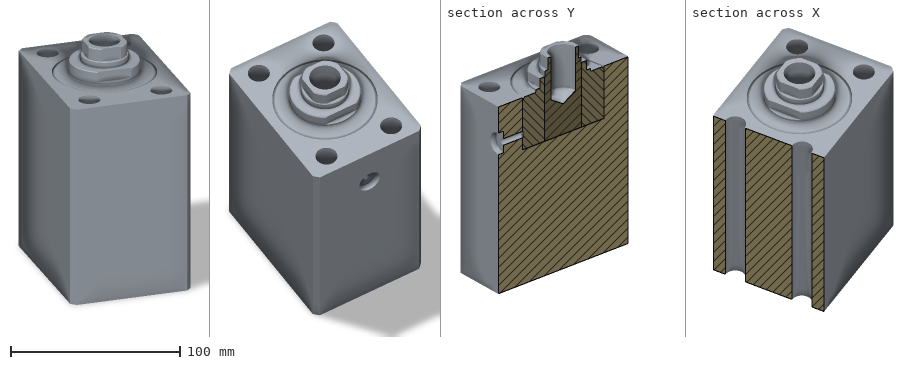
import cadquery as cq
import math

block_length = 100.0
block_width = 75.0
block_height = 124.9
corner_chamfer = 3.0

mount_hole_diameter = 13.0
mount_spacing_x = 76.0
mount_spacing_y = 44.9

port_recess_diameter = 14.2
port_recess_depth = 4.0
port_hole_diameter = 4.0
port_height = block_height - 24.8

gland_diameter = 62.3
gland_depth = 34.8
gland_chamfer = 1.5
hub_diameter = 42.0
hub_height = 8.3
hub_base_chamfer = 0.6
hub_top_chamfer = 0.5
hub_flats_width = 36.1
hub_flats_height = 6.4
bore_chamfer = 0.6

rod_diameter = 28.1
rod_top = 144.9
rod_shoulder_height = rod_top - 8.0
rod_chamfer = 0.5
rod_head_diameter = rod_diameter - 2 * rod_chamfer
rod_flats_width = 24.0
rod_hole_diameter = 18.7
rod_hole_depth = 29.0
drill_point_angle = 118.0

gland_bottom = block_height - gland_depth
hub_top = block_height + hub_height


def revolve_profile(points):
    """Turn (radius, height) points about the Z axis, starting from the -X side."""
    outline = [(-radius, height) for radius, height in points]
    return cq.Workplane("XZ").polyline(outline).close().revolve(360, (0, 0, 0), (0, 1, 0))


def cylinder(diameter, bottom, top):
    return cq.Workplane("XY").workplane(offset=bottom).circle(diameter / 2).extrude(top - bottom)


def make_block():
    block = cq.Workplane("XY").rect(block_length, block_width).extrude(block_height)
    block = block.edges("|Z").chamfer(corner_chamfer)

    mount_holes = (
        cq.Workplane("XY")
        .rect(mount_spacing_x, mount_spacing_y, forConstruction=True)
        .vertices()
        .circle(mount_hole_diameter / 2)
        .extrude(block_height)
    )
    gland_recess = cylinder(gland_diameter, gland_bottom, block_height)

    port_plane = cq.Workplane("YZ", origin=(-block_length / 2, 0, port_height))
    port_recess = port_plane.circle(port_recess_diameter / 2).extrude(port_recess_depth)
    port_hole = port_plane.circle(port_hole_diameter / 2).extrude(block_length / 2)

    return block.cut(mount_holes).cut(gland_recess).cut(port_recess).cut(port_hole)


def make_gland():
    gland_radius = gland_diameter / 2
    hub_radius = hub_diameter / 2
    gland = revolve_profile([
        (rod_diameter / 2, gland_bottom),
        (gland_radius, gland_bottom),
        (gland_radius, block_height - gland_chamfer),
        (gland_radius - gland_chamfer, block_height),
        (hub_radius + hub_base_chamfer, block_height),
        (hub_radius, block_height + hub_base_chamfer),
        (hub_radius, hub_top - hub_top_chamfer),
        (hub_radius - hub_top_chamfer, hub_top),
        (rod_diameter / 2 + bore_chamfer, hub_top),
        (rod_diameter / 2, hub_top - bore_chamfer),
    ])

    flats_waste = (
        cq.Workplane("XY")
        .workplane(offset=hub_top - hub_flats_height)
        .rect(2 * hub_diameter, 2 * hub_diameter)
        .rect(hub_flats_width, 2 * hub_diameter)
        .extrude(hub_flats_height)
    )
    return gland.cut(flats_waste)


def make_rod():
    rod_radius = rod_diameter / 2
    head_radius = rod_head_diameter / 2
    rod = revolve_profile([
        (0, gland_bottom),
        (rod_radius, gland_bottom),
        (rod_radius, rod_shoulder_height - rod_chamfer),
        (head_radius, rod_shoulder_height),
        (head_radius, rod_top - rod_chamfer),
        (head_radius - rod_chamfer, rod_top),
        (0, rod_top),
    ])

    flats_waste = (
        cq.Workplane("XY")
        .workplane(offset=rod_shoulder_height)
        .rect(2 * rod_diameter, 2 * rod_diameter)
        .rect(rod_flats_width, rod_flats_width)
        .extrude(rod_top - rod_shoulder_height)
    )

    hole_radius = rod_hole_diameter / 2
    hole_bottom = rod_top - rod_hole_depth
    point_depth = hole_radius / math.tan(math.radians(drill_point_angle / 2))
    blind_hole = revolve_profile([
        (0, rod_top),
        (hole_radius, rod_top),
        (hole_radius, hole_bottom),
        (0, hole_bottom - point_depth),
    ])
    return rod.cut(flats_waste).cut(blind_hole)


block = make_block()
gland = make_gland()
rod = make_rod()

result = cq.Compound.makeCompound([block.val(), gland.val(), rod.val()])